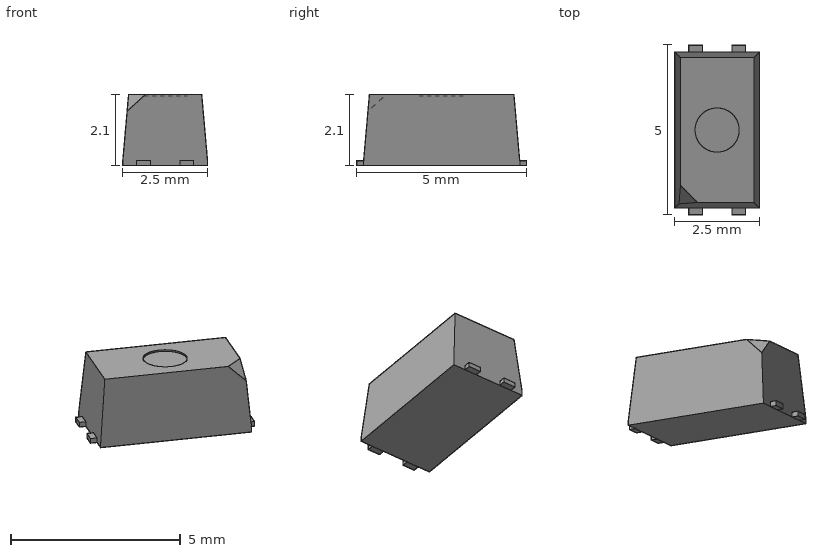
import cadquery as cq
import math

HOUSING_WIDTH = 2.5
HOUSING_LENGTH = 4.6
HEIGHT = 2.1
BASE_HEIGHT = 0.15
DRAFT_ANGLE = 5.0

CORNER_CUT = 0.5

RECESS_DIAMETER = 1.3
RECESS_DEPTH = 0.05

OVERALL_LENGTH = 5.0
LEAD_WIDTH = 0.41
LEAD_PITCH = 1.27
LEAD_THICKNESS = BASE_HEIGHT

TAPER_HEIGHT = HEIGHT - BASE_HEIGHT
DRAFT_SLOPE = math.tan(math.radians(DRAFT_ANGLE))
TOP_INSET = TAPER_HEIGHT * DRAFT_SLOPE
LEAD_LENGTH = (OVERALL_LENGTH - HOUSING_LENGTH) / 2


def make_corner_cutter():
    """Tetrahedron that removes the -X, -Y corner of the top face."""
    corner_x = -HOUSING_WIDTH / 2 + TOP_INSET
    corner_y = -HOUSING_LENGTH / 2 + TOP_INSET
    edge_shift = CORNER_CUT * DRAFT_SLOPE
    corner = cq.Vector(corner_x, corner_y, HEIGHT)
    along_x = cq.Vector(corner_x + CORNER_CUT, corner_y, HEIGHT)
    along_y = cq.Vector(corner_x, corner_y + CORNER_CUT, HEIGHT)
    below = cq.Vector(corner_x - edge_shift, corner_y - edge_shift, HEIGHT - CORNER_CUT)
    triangles = [
        (corner, along_x, along_y),
        (corner, below, along_x),
        (corner, along_y, below),
        (along_x, below, along_y),
    ]
    faces = [cq.Face.makeFromWires(cq.Wire.makePolygon(t, close=True)) for t in triangles]
    return cq.Workplane(cq.Solid.makeSolid(cq.Shell.makeShell(faces)))


def make_housing():
    base = cq.Workplane("XY").rect(HOUSING_WIDTH, HOUSING_LENGTH).extrude(BASE_HEIGHT)
    block = (
        cq.Workplane("XY", origin=(0, 0, BASE_HEIGHT))
        .rect(HOUSING_WIDTH, HOUSING_LENGTH)
        .extrude(TAPER_HEIGHT, taper=DRAFT_ANGLE)
    )
    recess = (
        cq.Workplane("XY", origin=(0, 0, HEIGHT - RECESS_DEPTH))
        .circle(RECESS_DIAMETER / 2)
        .extrude(RECESS_DEPTH)
    )
    return base.union(block).cut(recess).cut(make_corner_cutter())


def make_lead(x_side, y_side):
    """Flat lead butting against an end face of the base band."""
    x = x_side * LEAD_PITCH / 2
    y = y_side * (HOUSING_LENGTH + LEAD_LENGTH) / 2
    return (
        cq.Workplane("XY")
        .center(x, y)
        .rect(LEAD_WIDTH, LEAD_LENGTH)
        .extrude(LEAD_THICKNESS)
    )


housing = make_housing().solids()
leads = [make_lead(x_side, y_side) for x_side in (-1, 1) for y_side in (-1, 1)]

result = cq.Compound.makeCompound([housing.val(), *[lead.val() for lead in leads]])